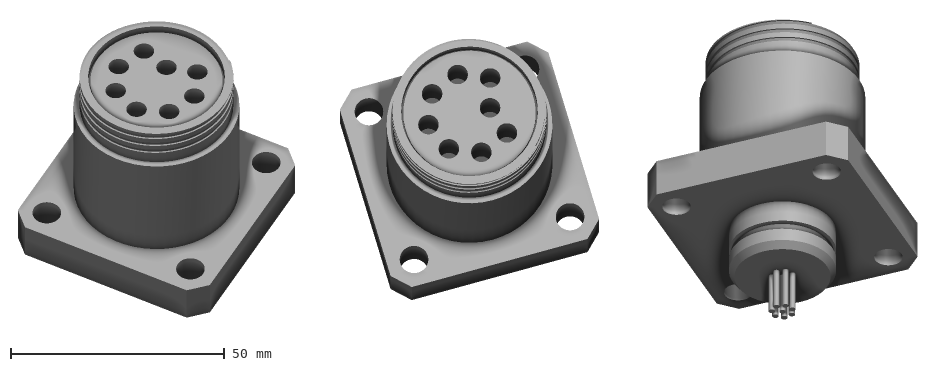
import cadquery as cq
import math

FLANGE_SIDE = 50.8
FLANGE_THICKNESS = 9.5
FLANGE_CORNER = 4.0
MOUNT_HOLE_DIAMETER = 6.7
MOUNT_HOLE_SPACING = 38.0

BARREL_DIAMETER = 38.8
BARREL_TOP = 38.2
COLLAR_DIAMETER = 36.0
COLLAR_TOP = 48.0

THREAD_PITCH = 2.4
THREAD_WIDTH = 1.06
THREAD_DEPTH = 0.4
THREAD_RUN_OUT = 2.87
THREAD_START_DROP = 6.83
CUT_CLEARANCE = 1.0

BORE_DIAMETER = 32.0
INSERT_DIAMETER = 31.0
INSERT_RECESS = 1.5
GAP_DEPTH = 1.0

FIRST_ANGLE = 90

SOCKET_DIAMETER = 4.8
SOCKET_DEPTH = 10.0
SOCKET_CIRCLE_RADIUS = 10.0
FIRST_SOCKET_RADIUS = 5.0
SOCKET_COUNT = 8

STUB_DIAMETER = 25.15
STUB_NECK_DIAMETER = 22.5
STUB_LENGTH = 12.7
NECK_START = 5.5
NECK_WIDTH = 2.3
TAPER_HEIGHT = 1.7

WIRE_DIAMETER = 1.5
WIRE_LENGTH = 10.0
WIRE_RING_RADIUS = 2.5
WIRE_RING_COUNT = 7


def polar_point(radius, angle):
    """Point at a radius and an angle in degrees, counted from +X."""
    return (radius * math.cos(math.radians(angle)), radius * math.sin(math.radians(angle)))


def make_flange():
    return (
        cq.Workplane("XY")
        .rect(FLANGE_SIDE, FLANGE_SIDE)
        .extrude(FLANGE_THICKNESS)
        .edges("|Z")
        .chamfer(FLANGE_CORNER)
        .faces(">Z")
        .workplane()
        .rect(MOUNT_HOLE_SPACING, MOUNT_HOLE_SPACING, forConstruction=True)
        .vertices()
        .hole(MOUNT_HOLE_DIAMETER)
    )


def make_turned_body():
    """Barrel, collar and stub, turned about Z from one half outline."""
    barrel_radius = BARREL_DIAMETER / 2
    collar_radius = COLLAR_DIAMETER / 2
    stub_radius = STUB_DIAMETER / 2
    neck_radius = STUB_NECK_DIAMETER / 2
    neck_end = NECK_START + NECK_WIDTH
    outline = [
        (0, COLLAR_TOP),
        (collar_radius, COLLAR_TOP),
        (collar_radius, BARREL_TOP),
        (barrel_radius, BARREL_TOP),
        (barrel_radius, 0),
        (stub_radius, 0),
        (stub_radius, -NECK_START),
        (neck_radius, -NECK_START),
        (neck_radius, -neck_end),
        (stub_radius, -neck_end),
        (stub_radius, TAPER_HEIGHT - STUB_LENGTH),
        (neck_radius, -STUB_LENGTH),
        (0, -STUB_LENGTH),
    ]
    return cq.Workplane("XZ").polyline(outline).close().revolve(360, (0, 0, 0), (0, 1, 0))


def make_thread_cutters():
    """Cutters for the groove: one helix piece per turn from -X, and a straight run-out at the start."""
    collar_radius = COLLAR_DIAMETER / 2
    root_radius = collar_radius - THREAD_DEPTH
    radial_size = THREAD_DEPTH + CUT_CLEARANCE
    middle_radius = root_radius + radial_size / 2
    start_height = COLLAR_TOP - THREAD_START_DROP

    one_turn_path = cq.Wire.makeHelix(THREAD_PITCH, THREAD_PITCH, collar_radius)
    one_turn = (
        cq.Workplane("XZ")
        .center(middle_radius, 0)
        .rect(radial_size, THREAD_WIDTH)
        .sweep(cq.Workplane(one_turn_path), isFrenet=True)
        .rotate((0, 0, 0), (0, 0, 1), 180)
    )
    turn_count = math.ceil((THREAD_START_DROP + THREAD_WIDTH / 2) / THREAD_PITCH)
    cutters = []
    for turn in range(turn_count):
        cutters.append(one_turn.translate((0, 0, start_height + turn * THREAD_PITCH)))

    lead_angle = math.degrees(math.atan(THREAD_PITCH / (math.pi * COLLAR_DIAMETER)))
    run_out = (
        cq.Workplane("XZ")
        .center(-middle_radius, 0)
        .rect(radial_size, THREAD_WIDTH)
        .extrude(-THREAD_RUN_OUT)
        .rotate((0, 0, 0), (1, 0, 0), -lead_angle)
        .translate((0, 0, start_height))
    )
    cutters.append(run_out)
    return cutters


def make_insert_recess():
    insert_top = COLLAR_TOP - INSERT_RECESS
    recess = cq.Workplane("XY", origin=(0, 0, insert_top)).circle(BORE_DIAMETER / 2).extrude(INSERT_RECESS)
    gap = (
        cq.Workplane("XY", origin=(0, 0, insert_top))
        .circle(BORE_DIAMETER / 2)
        .circle(INSERT_DIAMETER / 2)
        .extrude(-GAP_DEPTH)
    )
    return recess.union(gap)


def make_sockets():
    centres = [polar_point(FIRST_SOCKET_RADIUS, FIRST_ANGLE)]
    for index in range(1, SOCKET_COUNT):
        angle = FIRST_ANGLE + index * 360 / SOCKET_COUNT
        centres.append(polar_point(SOCKET_CIRCLE_RADIUS, angle))
    return (
        cq.Workplane("XY", origin=(0, 0, COLLAR_TOP - INSERT_RECESS))
        .pushPoints(centres)
        .circle(SOCKET_DIAMETER / 2)
        .extrude(-SOCKET_DEPTH)
    )


def make_wires():
    centres = [(0, 0)]
    for index in range(WIRE_RING_COUNT):
        angle = FIRST_ANGLE + index * 360 / WIRE_RING_COUNT
        centres.append(polar_point(WIRE_RING_RADIUS, angle))
    return (
        cq.Workplane("XY", origin=(0, 0, -STUB_LENGTH))
        .pushPoints(centres)
        .circle(WIRE_DIAMETER / 2)
        .extrude(-WIRE_LENGTH)
    )


result = make_turned_body().union(make_flange())
for thread_cutter in make_thread_cutters():
    result = result.cut(thread_cutter)
result = result.cut(make_insert_recess()).cut(make_sockets())
result = result.union(make_wires())